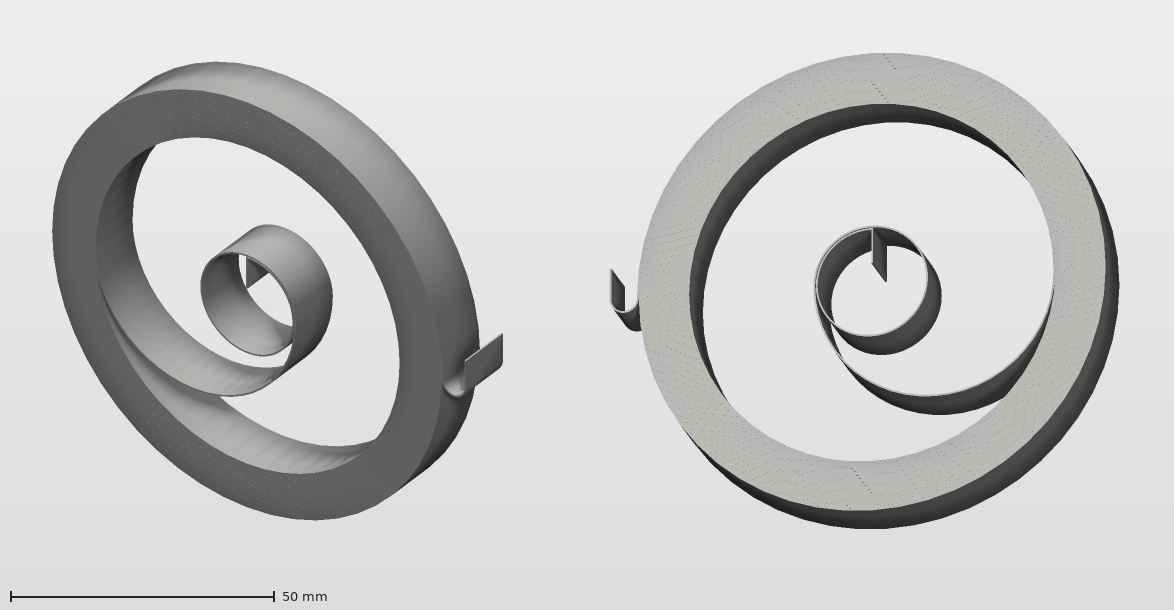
import cadquery as cq
import math

strip_width = 12.0
strip_thickness = 0.35
coil_gap = 0.003
half_thickness = strip_thickness / 2

coil_pitch = strip_thickness + coil_gap
layers = 29
ring_height = 90.9
last_radius = (ring_height + coil_pitch / 2 - strip_thickness) / 2
first_radius = last_radius - (layers - 1) * coil_pitch

overall_length = 96.35
hook_radius = (overall_length - 2 * last_radius - strip_thickness) / 2
hook_leg = 6.2

roll_radius = 10.6
roll_pitch = 0.5
tab_bottom_z = 3.8

RIGHT, TOP, LEFT = 0, 90, 180


def polar(center, radius, angle):
    """Point at an angle in degrees, counterclockwise from +X, around a centre in the XZ plane."""
    a = math.radians(angle)
    return (center[0] + radius * math.cos(a), center[1] + radius * math.sin(a))


def next_arc(previous, growth, sweep):
    """Clockwise arc that carries on tangentially from a clockwise arc, its radius larger by growth."""
    center, radius, start, previous_sweep = previous
    turn_angle = start - previous_sweep
    return (polar(center, -growth, turn_angle), radius + growth, turn_angle, sweep)


roll = [((0, 0), roll_radius, TOP, 180)]
roll.append(next_arc(roll[-1], roll_pitch / 2, 180))
roll.append(next_arc(roll[-1], roll_pitch / 2, 90))

roll_center, roll_end_radius, _, _ = roll[-1]
roll_end_x, roll_end_z = polar(roll_center, roll_end_radius, RIGHT)
link_radius = (roll_end_x + first_radius) / 2
link = ((roll_end_x - link_radius, roll_end_z), link_radius, RIGHT, 180)

ring = [next_arc(link, first_radius - link_radius, 180)]
for _ in range(2 * (layers - 1)):
    ring.append(next_arc(ring[-1], coil_pitch / 2, 180))

ring_center, ring_end_radius, _, _ = ring[-1]
ring_end_x, ring_end_z = polar(ring_center, ring_end_radius, RIGHT)
hook = ((ring_end_x + hook_radius, ring_end_z), hook_radius, LEFT, -180)

centerline = roll + [link] + ring + [hook]


def side_points(arc, offset):
    """Start, middle and end of an arc moved by offset to the left of the direction of travel."""
    center, radius, start, sweep = arc
    side_radius = radius + (offset if sweep > 0 else -offset)
    return [polar(center, side_radius, start - sweep * part) for part in (0, 0.5, 1)]


roll_outer_start = side_points(roll[0], half_thickness)[0]
tab_right = roll_outer_start[0]
tab_left = tab_right - strip_thickness
tab_top_z = roll_outer_start[1]
hook_end_x = ring_end_x + 2 * hook_radius
hook_top_z = ring_end_z + hook_leg

outline = cq.Workplane("XZ").moveTo(tab_left, tab_bottom_z)
outline = outline.lineTo(tab_left, tab_top_z).lineTo(tab_right, tab_top_z)
for arc in centerline:
    _, middle, end = side_points(arc, half_thickness)
    outline = outline.threePointArc(middle, end)
outline = outline.lineTo(hook_end_x - half_thickness, hook_top_z)
outline = outline.lineTo(hook_end_x + half_thickness, hook_top_z)
outline = outline.lineTo(hook_end_x + half_thickness, ring_end_z)
for arc in reversed(centerline):
    start, middle, _ = side_points(arc, -half_thickness)
    outline = outline.threePointArc(middle, start)
outline = outline.lineTo(tab_right, tab_bottom_z).close()

result = outline.extrude(strip_width)